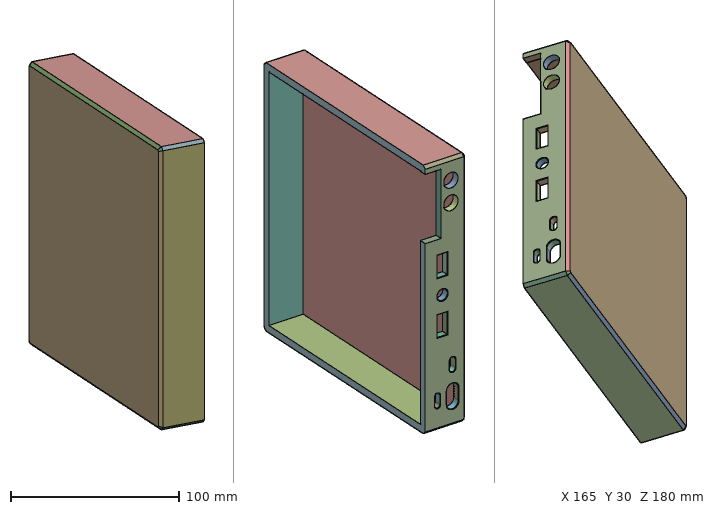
import cadquery as cq

width = 165.0
depth = 30.0
height = 180.0
edge_chamfer = 2.0
wall = 5.0

left = -width / 2
back = depth / 2

rim_chamfer = 0.4

notch_depth = 11.5
notch_top = 84.6
notch_bottom = 38.2

button_diameter = 10.5
button_inset = 18.7
button_levels = (75.0, 60.0)

port_inset = 12.6
port_width = 7.2
port_length = 15.1
port_level = 20.0
jack_diameter = 7.5
jack_level = 0

slots = (
    (20.0, -48.8, 4.3, 9.9),
    (9.0, -69.8, 3.8, 9.9),
    (20.0, -70.0, 8.6, 17.1),
)


def make_tray():
    """Box with chamfered outer edges, hollowed from the back."""
    box = cq.Workplane("XY").box(width, depth, height)
    box = box.edges("|Y").chamfer(edge_chamfer)
    box = box.faces("<Y").edges().chamfer(edge_chamfer)
    cavity = cq.Workplane("XY").box(width - 2 * wall, depth - wall, height - 2 * wall)
    return box.cut(cavity.translate((0, wall / 2, 0)))


def left_wall_plane(inset, level):
    """Workplane on the outer left face: local X toward +Y, local Y toward +Z, normal inward."""
    plane = cq.Plane(origin=(left, back - inset, level), xDir=(0, 1, 0), normal=(1, 0, 0))
    return cq.Workplane(plane)


def opening(outline):
    """Cutter for a straight opening through the left wall."""
    return outline.extrude(wall)


def chamfered_opening(outline):
    """Cutter for an opening with a chamfered outer rim.

    A plain plate is pierced and its rim chamfered; what the plate lost is the cutter.
    """
    plate = left_wall_plane(depth / 2, 0).rect(depth, height).extrude(wall)
    pierced = plate.cut(opening(outline))
    rim = pierced.faces("<X").val().innerWires()[0]
    pierced = pierced.newObject(rim.Edges()).chamfer(rim_chamfer)
    return plate.cut(pierced)


def notch():
    """Rectangular cutout reaching the open back edge of the left wall."""
    middle = (notch_top + notch_bottom) / 2
    return opening(left_wall_plane(notch_depth / 2, middle).rect(notch_depth, notch_top - notch_bottom))


def button_hole(level):
    return opening(left_wall_plane(button_inset, level).circle(button_diameter / 2))


def port(level):
    return chamfered_opening(left_wall_plane(port_inset, level).rect(port_width, port_length))


def jack_hole():
    return chamfered_opening(left_wall_plane(port_inset, jack_level).circle(jack_diameter / 2))


def slot(inset, level, slot_width, slot_length):
    """Round-ended slot, long side along Z."""
    return chamfered_opening(left_wall_plane(inset, level).slot2D(slot_length, slot_width, 90))


cutters = [notch(), jack_hole()]
cutters += [button_hole(level) for level in button_levels]
cutters += [port(level) for level in (port_level, -port_level)]
cutters += [slot(*slot_sizes) for slot_sizes in slots]

result = make_tray()
for cutter in cutters:
    result = result.cut(cutter)